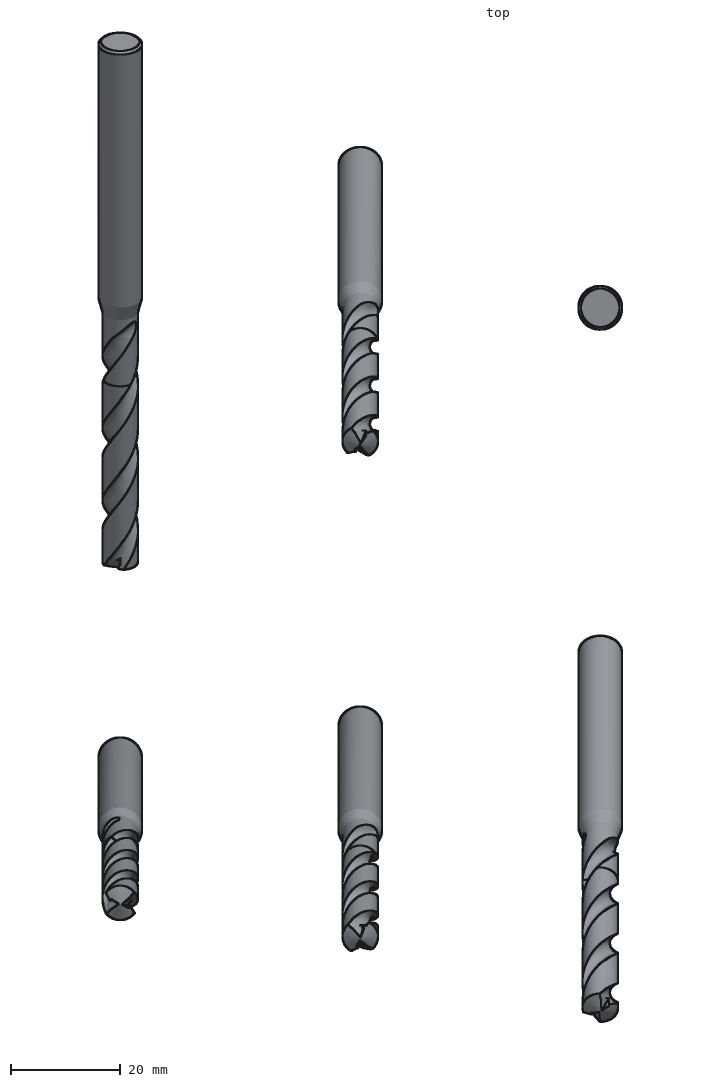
import cadquery as cq
import math


total_length = 109.0
shank_diameter = 8.0
shank_bottom = 56.0
shank_chamfer = 0.5
neck_cone_height = 3.0
drill_diameter = 6.5
tip_top = 39.3
point_angle = 140.0

flute_count = 2
flute_lead = 30.0
flute_start_angle = 94.0
flute_end = 48.8
flute_floor_radius = 1.75
flute_radius = 2.5
flute_overrun = 2.0

runout_slope = 40.0
runout_rise = 8.0

gash_inner_end = cq.Vector(-0.15, 0.25, 0.1)
gash_outer_end = cq.Vector(-1.3, 1.25, 2.9)
gash_wall_direction = cq.Vector(0, 0, -1)
gash_floor_direction = cq.Vector(0.45, 1.0, 0.25)
gash_reach = 5.0

shank_radius = shank_diameter / 2
drill_radius = drill_diameter / 2
point_height = drill_radius / math.tan(math.radians(point_angle / 2))
neck_top = shank_bottom - neck_cone_height
flute_centre_radius = flute_floor_radius + flute_radius
runout_travel = runout_rise / math.tan(math.radians(runout_slope))


def revolved(profile):
    """Solid of revolution about Z from (radius, height) points."""
    return cq.Workplane("XZ").polyline(profile).close().revolve(360, (0, 0), (0, 1))


def flute_angle(height):
    """Direction of the flute centre about Z, in radians."""
    return math.radians(flute_start_angle) + 2 * math.pi * height / flute_lead


def flute_section(height):
    """Horizontal circle that the flute cuts out at the given height."""
    angle = flute_angle(height)
    x = flute_centre_radius * math.cos(angle)
    y = flute_centre_radius * math.sin(angle)
    return cq.Workplane("XY", origin=(0, 0, height)).moveTo(x, y).circle(flute_radius)


def helical_flute(bottom, top):
    """Flute twisted about Z between two heights."""
    length = top - bottom
    return flute_section(bottom).twistExtrude(length, 360 * length / flute_lead)


def flute_runout():
    """Straight continuation of the flute along its tangent until it leaves the neck."""
    heading = flute_angle(flute_end) + math.pi / 2
    direction = cq.Vector(
        runout_travel * math.cos(heading),
        runout_travel * math.sin(heading),
        runout_rise,
    )
    face = cq.Face.makeFromWires(flute_section(flute_end).wires().val())
    return cq.Workplane(obj=cq.Solid.extrudeLinear(face, direction))


def point_gash():
    """V groove with a vertical wall and a sloped floor, rising from the point into the flute."""
    corners = [
        gash_inner_end,
        gash_inner_end + gash_wall_direction * gash_reach,
        gash_inner_end + gash_floor_direction * gash_reach,
    ]
    face = cq.Face.makeFromWires(cq.Wire.makePolygon(corners, close=True))
    return cq.Workplane(obj=cq.Solid.extrudeLinear(face, gash_outer_end - gash_inner_end))


def cut_flutes(body, cutters):
    """Apply the cutters at each flute, turning the body once round Z in all."""
    for _ in range(flute_count):
        for cutter in cutters:
            body = body.cut(cutter)
        body = body.rotate((0, 0, 0), (0, 0, 1), 360 / flute_count)
    return body


def make_tip():
    """Fluted cutting tip with a conical point."""
    blank = revolved([
        (0, 0),
        (drill_radius, point_height),
        (drill_radius, tip_top),
        (0, tip_top),
    ])
    flute = helical_flute(-flute_overrun, tip_top + flute_overrun)
    return cut_flutes(blank, [flute, point_gash()])


def make_shank():
    """Chamfered shank and cone, with a neck that carries the upper end of the flutes."""
    blank = revolved([
        (0, tip_top),
        (drill_radius, tip_top),
        (drill_radius, neck_top),
        (shank_radius, shank_bottom),
        (shank_radius, total_length - shank_chamfer),
        (shank_radius - shank_chamfer, total_length),
        (0, total_length),
    ])
    flute = helical_flute(tip_top - flute_overrun, flute_end)
    return cut_flutes(blank, [flute, flute_runout()])


tip = make_tip().solids()
shank = make_shank().solids()

result = cq.Compound.makeCompound([tip.val(), shank.val()])